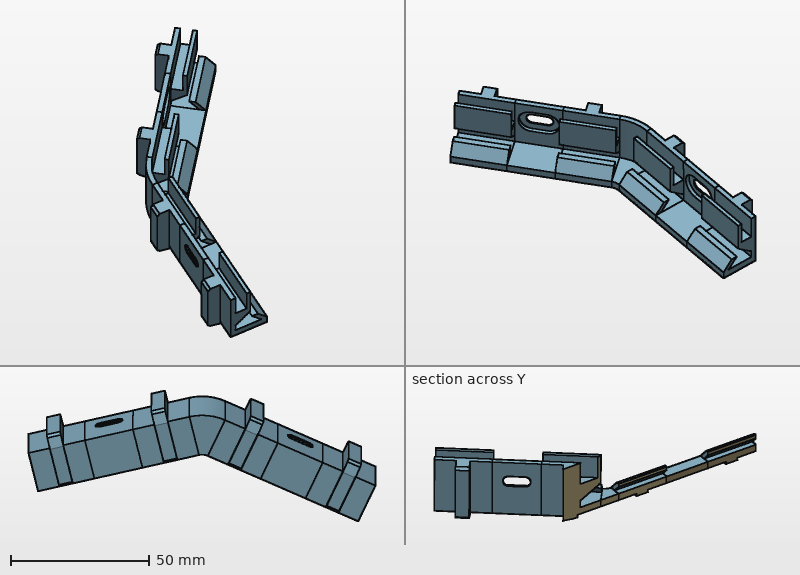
import cadquery as cq

BEND_ANGLE = 38.0
BEND_RADIUS = 20.0
RAIL_LENGTH = 21.0
LINK_LENGTH = 17.9
DEPTH = 15.0
HEIGHT = 22.0
WALL = 2.0
FLOOR = 3.0

CHANNEL_BACK = 6.6
CHANNEL_FLOOR = 13.0
BACK_PLATE = 1.5

GROOVE_CEILING_FRONT = 5.7
GROOVE_CEILING_BACK = 10.6

LIP_TOP = 7.2
LIP_LEAN = 3.8
LIP_THICKNESS = 2.4

RIB_WIDTH = 5.0
RIB_REACH = 5.0
RIB_CHAMFER = 1.0
FOOT_DROP = 1.0

SLOT_LENGTH = 10.0
SLOT_WIDTH = 4.2
SLOT_HEIGHT = 14.0
SLOT_LIP = 0.5
HEAD_MARGIN = 2.6

YAW = -0.2
PITCH = 0.1

ARM_LENGTH = 2 * RAIL_LENGTH + LINK_LENGTH


def extrude_along_x(points, start, length):
    """Extrude a (depth, height) outline along X from the given start."""
    return cq.Workplane("YZ", origin=(start, 0, 0)).polyline(points).close().extrude(length)


def rail_outline():
    plate_back = CHANNEL_BACK + BACK_PLATE
    lip_tip = DEPTH - LIP_LEAN
    return [
        (0, 0),
        (DEPTH, 0),
        (DEPTH, FLOOR),
        (lip_tip, LIP_TOP),
        (lip_tip - LIP_THICKNESS, LIP_TOP),
        (DEPTH - LIP_THICKNESS, FLOOR),
        (WALL, FLOOR),
        (WALL, GROOVE_CEILING_FRONT),
        (plate_back, GROOVE_CEILING_BACK),
        (plate_back, HEIGHT),
        (CHANNEL_BACK, HEIGHT),
        (CHANNEL_BACK, CHANNEL_FLOOR),
        (WALL, CHANNEL_FLOOR),
        (WALL, HEIGHT),
        (0, HEIGHT),
    ]


def rib_outline():
    return [
        (0, HEIGHT),
        (RIB_CHAMFER - RIB_REACH, HEIGHT),
        (-RIB_REACH, HEIGHT - RIB_CHAMFER),
        (-RIB_REACH, RIB_CHAMFER),
        (RIB_CHAMFER - RIB_REACH, 0),
        (0, -FOOT_DROP),
        (DEPTH - FOOT_DROP, -FOOT_DROP),
        (DEPTH, 0),
        (0, 0),
    ]


def angle_outline():
    """L-shaped section shared by the links and the corner."""
    return [
        (0, 0),
        (DEPTH, 0),
        (DEPTH, FLOOR),
        (WALL, FLOOR),
        (WALL, HEIGHT),
        (0, HEIGHT),
    ]


def make_rail(start):
    """Clip rail with its rib as one solid."""
    rail = extrude_along_x(rail_outline(), start, RAIL_LENGTH)
    rib_start = start + (RAIL_LENGTH - RIB_WIDTH) / 2
    return rail.union(extrude_along_x(rib_outline(), rib_start, RIB_WIDTH))


def slot_cutter(centre, margin, front):
    """Slot cutter from the given depth to the rear of the front plate, enlarged by the margin all round."""
    return (
        cq.Workplane("XZ", origin=(centre, front, SLOT_HEIGHT))
        .slot2D(SLOT_LENGTH + 2 * margin, SLOT_WIDTH + 2 * margin)
        .extrude(front - WALL)
    )


def make_link(start):
    """Plain link with a horizontal mounting slot, recessed from the rear for the screw head."""
    centre = start + LINK_LENGTH / 2
    link = extrude_along_x(angle_outline(), start, LINK_LENGTH)
    return link.cut(slot_cutter(centre, 0, 0)).cut(slot_cutter(centre, HEAD_MARGIN, SLOT_LIP))


def make_corner():
    """Curved piece that joins the arms, swept about the vertical bend axis."""
    section = cq.Workplane("YZ").polyline(angle_outline()).close()
    return section.revolve(BEND_ANGLE, (BEND_RADIUS, 1.2, 0), (BEND_RADIUS, 0, 0))


def turn_about_bend(body, angle):
    return body.rotate((0, BEND_RADIUS, 0), (0, BEND_RADIUS, 1), angle)


def seat(body):
    """Turn a body into the slightly tilted resting position."""
    return body.rotate((0, 0, 0), (0, 1, 0), PITCH).rotate((0, 0, 0), (0, 0, 1), YAW)


rails = []
links = []
for arm_start, arm_angle in [(0, 0), (-ARM_LENGTH, -BEND_ANGLE)]:
    for rail_start in (arm_start, arm_start + RAIL_LENGTH + LINK_LENGTH):
        rails.append(turn_about_bend(make_rail(rail_start), arm_angle))
    links.append(turn_about_bend(make_link(arm_start + RAIL_LENGTH), arm_angle))

corner = make_corner()

result = cq.Compound.makeCompound([seat(body).val() for body in [*rails, *links, corner]])